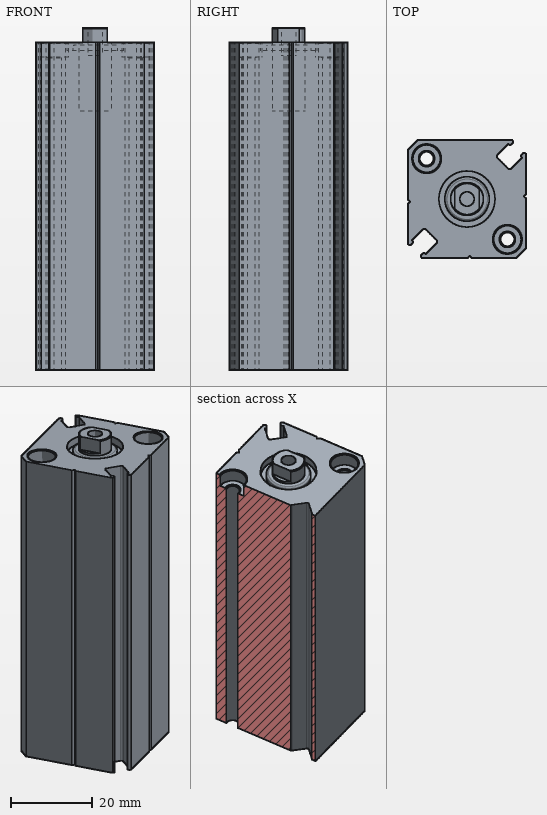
import cadquery as cq

overall_height = 84.0
body_side = 29.0
rod_projection = 3.5
body_height = overall_height - rod_projection
half_side = body_side / 2
corner_chamfer = 2.35

slot_floor_distance = 12.4
slot_width = 4.7
lip_inner_distance = 16.7
lip_outer_distance = 18.1
slot_mouth_width = 3.5
slot_floor_fillet = 0.5
lip_fillet = 0.4
slot_angles = (45, 225)

groove_offset = 0.7
groove_depth = 0.5
groove_angles = (0, 180, 270)

mount_offset = 9.9
mount_hole_diameter = 3.4
mount_hole_chamfer = 0.29
counterbore_diameter = 6.7
counterbore_depth = 3.5
counterbore_chamfer = 0.25

recess_diameter = 13.8
recess_depth = 2.0
collar_diameter = 10.9
collar_height = 1.4
collar_fillet = 0.5

rod_diameter = 8.1
rod_embedded_length = 16.8
rod_tip_chamfer = 0.21
rod_flat_width = 6.05
rod_flat_length = 3.5
rod_hole_diameter = 3.5
rod_hole_depth = 6.7

recess_floor = body_height - recess_depth
rod_bottom = body_height - rod_embedded_length


def slot_block(start, end, width):
    """Full-height block centred on the X axis, from start to end along it."""
    block = cq.Workplane("XY").box(end - start, width, body_height, centered=(False, True, False))
    return block.translate((start, 0, 0))


def fillet_upright_edges(solid, positions, radius):
    for x, y in positions:
        edge_middle = cq.selectors.NearestToPointSelector((x, y, body_height / 2))
        solid = solid.edges("|Z").edges(edge_middle).fillet(radius)
    return solid


def sensor_slot(angle):
    """T-shaped slot along the whole body, opening through the corner at this angle."""
    half_slot = slot_width / 2
    half_mouth = slot_mouth_width / 2
    floor_edges = [(slot_floor_distance, side * half_slot) for side in (-1, 1)]
    lip_edges = [
        (distance, side * half_mouth)
        for distance in (lip_inner_distance, lip_outer_distance)
        for side in (-1, 1)
    ]
    cavity = slot_block(slot_floor_distance, lip_inner_distance, slot_width)
    mouth = slot_block(slot_floor_distance, body_side, slot_mouth_width)
    corner_tip = slot_block(lip_outer_distance, body_side, body_side)
    slot = cavity.union(mouth).union(corner_tip)
    slot = fillet_upright_edges(slot, floor_edges, slot_floor_fillet)
    slot = fillet_upright_edges(slot, lip_edges, lip_fillet)
    return slot.rotate((0, 0, 0), (0, 0, 1), angle)


def side_groove(angle):
    """V groove along the +X face, turned about Z to the face at this angle."""
    bottom = half_side - groove_depth
    outline = [
        (half_side, groove_offset - groove_depth),
        (bottom, groove_offset),
        (half_side, groove_offset + groove_depth),
    ]
    groove = cq.Workplane("XY").polyline(outline).close().extrude(body_height)
    return groove.rotate((0, 0, 0), (0, 0, 1), angle)


def cylinder(diameter, bottom, height):
    return cq.Workplane("XY").workplane(offset=bottom).circle(diameter / 2).extrude(height)


def cone_flare(diameter, chamfer, top):
    """Cutter for a 45 degree chamfer around a hole whose rim is at height top."""
    radius = diameter / 2
    outline = [(0, top - chamfer), (radius, top - chamfer), (radius + chamfer, top), (0, top)]
    return cq.Workplane("XZ").polyline(outline).close().revolve(360, (0, 0), (0, 1))


def mounting_hole():
    seat = body_height - counterbore_depth
    hole = cylinder(mount_hole_diameter, 0, body_height)
    counterbore = cylinder(counterbore_diameter, seat, counterbore_depth)
    rim_flare = cone_flare(counterbore_diameter, counterbore_chamfer, body_height)
    seat_flare = cone_flare(mount_hole_diameter, mount_hole_chamfer, seat)
    return hole.union(counterbore).union(rim_flare).union(seat_flare)


def make_housing():
    body = cq.Workplane("XY").rect(body_side, body_side).extrude(body_height)
    chamfered_corners = cq.selectors.SumSelector(
        cq.selectors.NearestToPointSelector((-half_side, half_side, body_height / 2)),
        cq.selectors.NearestToPointSelector((half_side, -half_side, body_height / 2)),
    )
    body = body.edges("|Z").edges(chamfered_corners).chamfer(corner_chamfer)
    for angle in slot_angles:
        body = body.cut(sensor_slot(angle))
    for angle in groove_angles:
        body = body.cut(side_groove(angle))
    for side in (-1, 1):
        body = body.cut(mounting_hole().translate((side * mount_offset, -side * mount_offset, 0)))
    body = body.cut(cylinder(recess_diameter, recess_floor, recess_depth))
    collar = cylinder(collar_diameter, recess_floor, collar_height).faces(">Z").fillet(collar_fillet)
    body = body.union(collar)
    return body.cut(cylinder(rod_diameter, rod_bottom, rod_embedded_length))


def make_rod():
    rod = cylinder(rod_diameter, rod_bottom, overall_height - rod_bottom)
    rod = rod.faces(">Z").chamfer(rod_tip_chamfer)
    flats_bottom = overall_height - rod_flat_length
    for side in (-1, 1):
        beside_flat = cq.Workplane("XY").box(
            rod_diameter, rod_diameter, rod_flat_length, centered=(True, True, False)
        )
        offset = side * (rod_flat_width + rod_diameter) / 2
        rod = rod.cut(beside_flat.translate((offset, 0, flats_bottom)))
    return rod.cut(cylinder(rod_hole_diameter, overall_height - rod_hole_depth, rod_hole_depth))


housing = make_housing()
rod = make_rod()
result = cq.Compound.makeCompound([housing.val(), rod.val()])